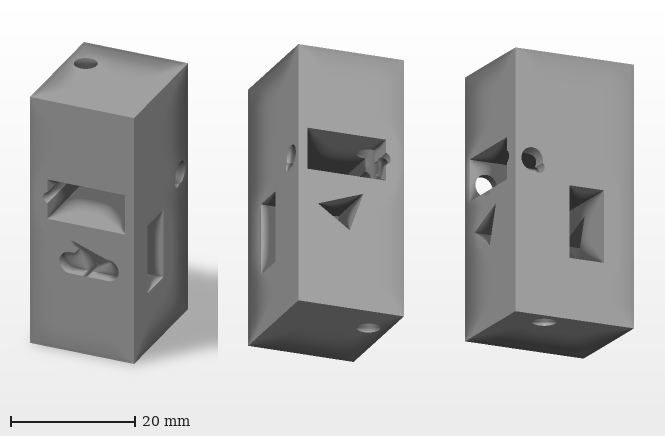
import cadquery as cq

width = 18.35
depth = 21.3
height = 44.45

round_diameter = 3.85
notch_radius = 1.02

window_left = 3.1
window_right = 16.75
window_bottom = 23.05
window_top = 30.2
window_notch_x = 3.35
window_notch_z = 26.9

triangle_corners = [(7.05, 20.2), (14.95, 17.35), (9.42, 13.5)]

slot_left = 5.15
slot_right = 15.65
slot_z = 15.95
slot_depth = 2.15

side_window_front = 5.4
side_window_back = 11.55
side_window_bottom = 10.3
side_window_top = 22.55

side_hole_y = 18.25
side_hole_z = 26.1
side_notch_y = 17.05
side_notch_z = 24.95

top_hole_x = 3.4
top_hole_y = 14.5


def box_between(low, high):
    """Axis-aligned box between two opposite corners."""
    size = [b - a for a, b in zip(low, high)]
    return cq.Workplane("XY").box(*size, centered=False).translate(low)


def hole_along_x(y, z, radius):
    return cq.Workplane("YZ").center(y, z).circle(radius).extrude(width)


def front_plane():
    """Sketch plane on the front face; negative extrusion goes into the block."""
    return cq.Workplane("XZ")


def front_window():
    window = box_between((window_left, 0, window_bottom), (window_right, depth, window_top))
    notch = front_plane().center(window_notch_x, window_notch_z).circle(notch_radius).extrude(-depth)
    return window.union(notch)


def triangle_hole():
    return front_plane().polyline(triangle_corners).close().extrude(-depth)


def front_slot():
    slot_x = (slot_left + slot_right) / 2
    slot_length = slot_right - slot_left
    return front_plane().center(slot_x, slot_z).slot2D(slot_length, round_diameter).extrude(-slot_depth)


def side_window():
    low = (0, side_window_front, side_window_bottom)
    high = (width, side_window_back, side_window_top)
    return box_between(low, high)


def side_hole():
    hole = hole_along_x(side_hole_y, side_hole_z, round_diameter / 2)
    return hole.union(hole_along_x(side_notch_y, side_notch_z, notch_radius))


def top_hole():
    return cq.Workplane("XY").center(top_hole_x, top_hole_y).circle(round_diameter / 2).extrude(height)


result = box_between((0, 0, 0), (width, depth, height))
for cutter in (front_window, triangle_hole, front_slot, side_window, side_hole, top_hole):
    result = result.cut(cutter())